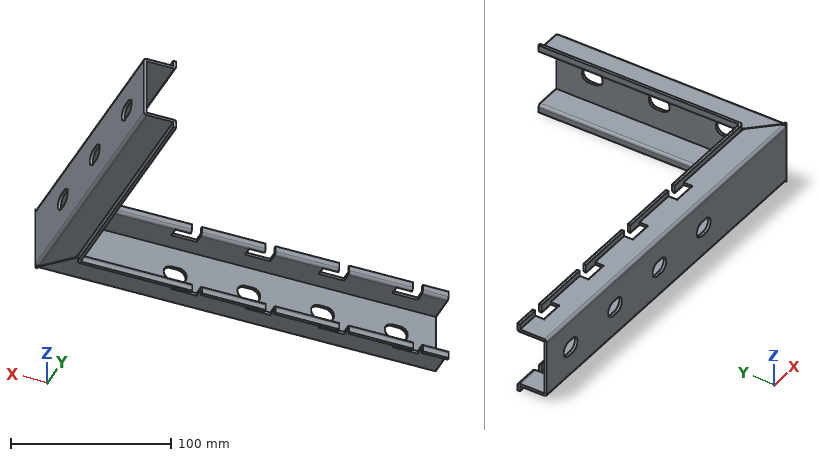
import cadquery as cq
import math

LENGTH_X = 272.0
LENGTH_Y = 172.0
HEIGHT = 52.0

THICKNESS = 2.0
WEB_HEIGHT = 44.0
ARM_WIDTH = 22.0

LIP_CORNER_INNER = 0.7
MITRE_GAP = 0.8

HOLE_PITCH = 50.0
HOLE_LENGTH = 15.5
HOLE_HEIGHT = 11.0
HOLE_OFFSET = 27.0
HOLES_X = 4
HOLES_Y = 3

NOTCH_START = 17.5
NOTCH_LENGTH = 17.0
NOTCH_DEPTH = 8.5
LIP_GAP = 6.8

half_web = WEB_HEIGHT / 2
half_height = HEIGHT / 2
lip_back = ARM_WIDTH - THICKNESS
lip_end = ARM_WIDTH + LIP_CORNER_INNER


def upper_section():
    """Section above mid-height in the YZ plane: web, flange and outward lip."""
    flange_under = half_web - THICKNESS
    arc_rise = THICKNESS * math.sqrt(0.5)
    return (
        cq.Workplane("YZ")
        .lineTo(0, flange_under)
        .threePointArc((THICKNESS - arc_rise, flange_under + arc_rise), (THICKNESS, half_web))
        .lineTo(lip_back, half_web)
        .lineTo(lip_back, half_height)
        .lineTo(ARM_WIDTH, half_height)
        .lineTo(ARM_WIDTH, half_web)
        .threePointArc((lip_back + arc_rise, half_web - arc_rise), (lip_back, flange_under))
        .lineTo(THICKNESS, flange_under)
        .lineTo(THICKNESS, 0)
        .close()
    )


def prism(points):
    """Full-height prism over a plan outline."""
    return cq.Workplane("XY").polyline(points).close().extrude(half_height, both=True)


def arm(length, hole_count):
    """Arm along +X with its free end at X = 0, its web at Y = 0 and a mitred far end."""
    upper = upper_section().extrude(length - THICKNESS)
    body = upper.union(upper.mirror("XY"))
    gap_shift = MITRE_GAP * math.sqrt(0.5)
    mitre_start = length - THICKNESS
    lip_stop = length - lip_end
    outline = [
        (0, 0),
        (mitre_start, 0),
        (mitre_start, THICKNESS),
        (mitre_start - gap_shift, THICKNESS),
        (length - lip_back - gap_shift, lip_back),
        (lip_stop, lip_back),
        (lip_stop, ARM_WIDTH),
        (0, ARM_WIDTH),
    ]
    body = body.intersect(prism(outline))
    holes = (
        cq.Workplane("XZ")
        .pushPoints([(HOLE_OFFSET + i * HOLE_PITCH, 0) for i in range(hole_count)])
        .slot2D(HOLE_LENGTH, HOLE_HEIGHT)
        .extrude(-2 * THICKNESS)
    )
    return body.cut(holes)


def notch(start):
    """L-shaped cutter: a pocket through the flange and a shorter mouth through the lip."""
    floor = ARM_WIDTH - NOTCH_DEPTH
    pocket_end = start + NOTCH_LENGTH
    mouth_end = start + LIP_GAP
    return prism([
        (start, floor),
        (pocket_end, floor),
        (pocket_end, lip_back),
        (mouth_end, lip_back),
        (mouth_end, ARM_WIDTH),
        (start, ARM_WIDTH),
    ])


def corner_bend(offset, inner_radius, bottom, top):
    """Quarter-turn of sheet whose outer faces lie at offset from both web outer faces."""
    outer_radius = inner_radius + THICKNESS
    center_x = LENGTH_X - offset - outer_radius
    center_y = offset + outer_radius
    plane = cq.Workplane("XY", origin=(center_x, center_y, bottom))
    quarter = plane.rect(outer_radius, -outer_radius, centered=False).extrude(top - bottom)
    bend = quarter.intersect(plane.circle(outer_radius).extrude(top - bottom))
    if inner_radius > 0:
        bend = bend.cut(plane.circle(inner_radius).extrude(top - bottom))
    return bend


x_arm = arm(LENGTH_X, HOLES_X)
for i in range(HOLES_X):
    x_arm = x_arm.cut(notch(NOTCH_START + i * HOLE_PITCH))

y_arm = arm(LENGTH_Y, HOLES_Y).mirror("XZ")
y_arm = y_arm.rotate((0, 0, 0), (0, 0, 1), -90).translate((LENGTH_X, LENGTH_Y, 0))

web_corner = corner_bend(0, 0, -half_web, half_web)
upper_lip_corner = corner_bend(lip_back, LIP_CORNER_INNER, half_web, half_height)
lower_lip_corner = corner_bend(lip_back, LIP_CORNER_INNER, -half_height, -half_web)

result = x_arm.union(y_arm).union(web_corner).union(upper_lip_corner).union(lower_lip_corner)